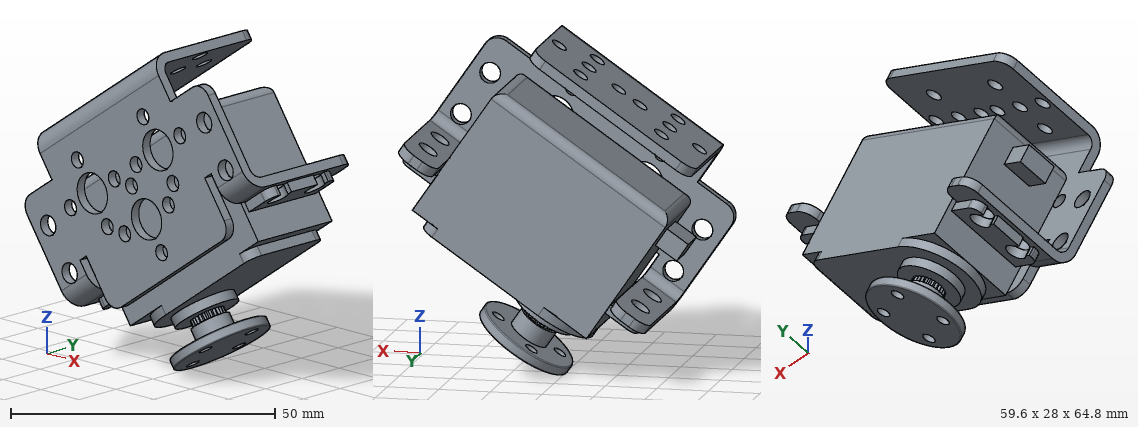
import cadquery as cq
import math


TILT = 34.53

SHEET = 2.0
BEND_INNER = 2.0
BEND_OUTER = BEND_INNER + SHEET
FLANGE_REACH = 28.0
CORNER = 3.0
CLEARANCE = 1.0
BRACKET_WIDTH = 58.0
TOP_WIDTH = 38.0
SLOT_WIDTH = 2.0
SHOULDER_Z = -9.5
SLOT_TOP_Z = -25.5
MOUNT_Z = -32.5
TONGUE_Z = -37.5
LOWER_FLANGE = (BRACKET_WIDTH - TOP_WIDTH) / 2 - SLOT_WIDTH
LOWER_FLANGE_X = (BRACKET_WIDTH - LOWER_FLANGE) / 2

SCREW_HOLE = 3.1
MOUNT_HOLE = 4.0
HORN_HOLE = 8.0
RING_RADIUS = 7.0
UPPER_GROUP_X = 10.5
UPPER_GROUP_Z = -16.0
LOWER_GROUP_Z = -26.0
PLATE_GROUPS = [(-UPPER_GROUP_X, UPPER_GROUP_Z), (UPPER_GROUP_X, UPPER_GROUP_Z), (0, LOWER_GROUP_Z)]
FLANGE_GROUP_X = 9.5
MOUNT_PITCH = 10.0
PLATE_MOUNT_TOP_Z = -16.5

SERVO_Y = 14.5
BODY_WIDTH = 41.0
BODY_DEPTH = 20.0
BODY_Y = (SERVO_Y - BODY_DEPTH / 2, SERVO_Y + BODY_DEPTH / 2)
BODY_TOP_Z = -11.5
BODY_BOTTOM_Z = -40.5
BODY_EDGE = 2.0
EAR_SPAN = 55.2
EAR_DEPTH = 18.0
EAR_THICKNESS = 2.0
EAR_CORNER = 2.0
EAR_HOLE = 4.2
EAR_MOUTH = 2.9
CABLE_WIDTH = 7.0
CABLE_HEIGHT = 4.0
CABLE_LENGTH = 5.0
CABLE_TOP_Z = -15.5

OUTPUT_X = (BODY_DEPTH - BODY_WIDTH) / 2
CAP_HEIGHT = 2.0
CAP_END_X = 17.1
CAP_CORNER = 2.6
BOSS_DIAMETER = 13.2
BOSS_HEIGHT = 2.0
SPLINE_TEETH = 25
SPLINE_DIAMETER = 7.0
SPLINE_ROOT = 6.3
SPLINE_GAP = 1.5
HUB_DIAMETER = 8.0
HUB_HEIGHT = 3.6
DISC_DIAMETER = 20.0
DISC_THICKNESS = 2.0
DISC_EDGE = 0.2
DISC_HOLE = 2.6
DISC_HOLE_ANGLE = 20.0

CAP_Z = BODY_BOTTOM_Z - CAP_HEIGHT
BOSS_Z = CAP_Z - BOSS_HEIGHT
HUB_TOP_Z = BOSS_Z - SPLINE_GAP
DISC_TOP_Z = HUB_TOP_Z - HUB_HEIGHT


def block(x, y, z):
    """Box spanning the given (low, high) pairs."""
    size = [high - low for low, high in (x, y, z)]
    return cq.Workplane("XY").box(*size, centered=False).translate((x[0], y[0], z[0]))


def upright_cylinder(x, y, diameter, bottom, top):
    plane = cq.Workplane("XY").workplane(offset=bottom)
    return plane.center(x, y).circle(diameter / 2).extrude(top - bottom)


def ring(x, y, first_angle=0):
    """Four points around a centre at the ring radius."""
    angles = [math.radians(first_angle + 90 * i) for i in range(4)]
    return [(x + RING_RADIUS * math.cos(a), y + RING_RADIUS * math.sin(a)) for a in angles]


def folded_strip(width, x, low, high, bend_at_top):
    """L-section strip: a length of plate bent into a flange at one end."""
    outer = block((x - width / 2, x + width / 2), (0, FLANGE_REACH), (low, high))
    if bend_at_top:
        inner_z = (low - CLEARANCE, high - SHEET)
    else:
        inner_z = (low + SHEET, high + CLEARANCE)
    inner = block((x - width, x + width), (SHEET, FLANGE_REACH + CLEARANCE), inner_z)
    bend_side = ">Z" if bend_at_top else "<Z"
    outer = outer.edges("<Y and " + bend_side).fillet(BEND_OUTER)
    inner = inner.edges("<Y and " + bend_side).fillet(BEND_INNER)
    return outer.edges("|Z and >Y").fillet(CORNER).cut(inner)


def plate_hole(points, diameter):
    plane = cq.Workplane("XZ").pushPoints(points)
    return plane.circle(diameter / 2).extrude(-SHEET)


def flange_hole(points, diameter, top):
    plane = cq.Workplane("XY").workplane(offset=top).pushPoints(points)
    return plane.circle(diameter / 2).extrude(-SHEET)


def make_bracket():
    half = TOP_WIDTH / 2
    wide = BRACKET_WIDTH / 2

    shoulders = block((-wide, wide), (0, SHEET), (SLOT_TOP_Z, SHOULDER_Z))
    shoulders = shoulders.edges("|Y and >Z").fillet(CORNER)
    tongue = block((-half, half), (0, SHEET), (TONGUE_Z, SLOT_TOP_Z))
    tongue = tongue.edges("|Y and <Z").fillet(CORNER)
    bracket = shoulders.union(tongue)
    bracket = bracket.union(folded_strip(TOP_WIDTH, 0, SLOT_TOP_Z, 0, True))
    for x in (-LOWER_FLANGE_X, LOWER_FLANGE_X):
        bracket = bracket.union(folded_strip(LOWER_FLANGE, x, MOUNT_Z, SLOT_TOP_Z, False))

    for x, z in PLATE_GROUPS:
        bracket = bracket.cut(plate_hole([(x, z)], HORN_HOLE))
        bracket = bracket.cut(plate_hole(ring(x, z), SCREW_HOLE))
    for x in (-FLANGE_GROUP_X, FLANGE_GROUP_X):
        points = [(x, SERVO_Y)] + ring(x, SERVO_Y)
        bracket = bracket.cut(flange_hole(points, SCREW_HOLE, 0))
    for x in (-LOWER_FLANGE_X, LOWER_FLANGE_X):
        plate_points = [(x, PLATE_MOUNT_TOP_Z), (x, PLATE_MOUNT_TOP_Z - MOUNT_PITCH)]
        bracket = bracket.cut(plate_hole(plate_points, MOUNT_HOLE))
        flange_points = [(x, SERVO_Y + side * MOUNT_PITCH / 2) for side in (-1, 1)]
        bracket = bracket.cut(flange_hole(flange_points, MOUNT_HOLE, MOUNT_Z + SHEET))
    return bracket


def make_ears():
    """Flat strip under the lower flanges with a screw hole and a narrower open mouth per screw."""
    plane = cq.Workplane("XY").workplane(offset=MOUNT_Z - EAR_THICKNESS).center(0, SERVO_Y)
    ears = plane.rect(EAR_SPAN, EAR_DEPTH).extrude(EAR_THICKNESS)
    ears = ears.edges("|Z").fillet(EAR_CORNER)
    mouth_length = LOWER_FLANGE
    for x in (-LOWER_FLANGE_X, LOWER_FLANGE_X):
        for y in (-MOUNT_PITCH / 2, MOUNT_PITCH / 2):
            hole = plane.center(x, y).circle(EAR_HOLE / 2).extrude(EAR_THICKNESS)
            mouth_x = x + math.copysign(mouth_length / 2, x)
            mouth = plane.center(mouth_x, y).rect(mouth_length, EAR_MOUTH).extrude(EAR_THICKNESS)
            ears = ears.cut(hole).cut(mouth)
    return ears


def make_body():
    half = BODY_WIDTH / 2
    body = block((-half, half), BODY_Y, (BODY_BOTTOM_Z, BODY_TOP_Z))
    body = body.faces(">Z").edges().fillet(BODY_EDGE)
    cable = block(
        (-half - CABLE_LENGTH, -half),
        (SERVO_Y - CABLE_WIDTH / 2, SERVO_Y + CABLE_WIDTH / 2),
        (CABLE_TOP_Z - CABLE_HEIGHT, CABLE_TOP_Z),
    )
    return body.union(cable).union(make_ears())


def make_gear_cap():
    """Raised pad under the body, round at the output end, with the output boss."""
    cap = block((OUTPUT_X, CAP_END_X), BODY_Y, (CAP_Z, BODY_BOTTOM_Z))
    cap = cap.edges("|Z and >X").fillet(CAP_CORNER)
    cap = cap.union(upright_cylinder(OUTPUT_X, SERVO_Y, BODY_DEPTH, CAP_Z, BODY_BOTTOM_Z))
    return cap.union(upright_cylinder(OUTPUT_X, SERVO_Y, BOSS_DIAMETER, BOSS_Z, CAP_Z))


def make_spline():
    points = []
    for i in range(2 * SPLINE_TEETH):
        radius = (SPLINE_DIAMETER if i % 2 == 0 else SPLINE_ROOT) / 2
        angle = math.pi * i / SPLINE_TEETH
        points.append((radius * math.cos(angle), radius * math.sin(angle)))
    plane = cq.Workplane("XY").workplane(offset=HUB_TOP_Z).center(OUTPUT_X, SERVO_Y)
    return plane.polyline(points).close().extrude(SPLINE_GAP)


def make_horn():
    disc_bottom = DISC_TOP_Z - DISC_THICKNESS
    disc = upright_cylinder(OUTPUT_X, SERVO_Y, DISC_DIAMETER, disc_bottom, DISC_TOP_Z)
    disc = disc.edges().fillet(DISC_EDGE)
    holes = (
        cq.Workplane("XY")
        .workplane(offset=disc_bottom)
        .pushPoints(ring(OUTPUT_X, SERVO_Y, DISC_HOLE_ANGLE))
        .circle(DISC_HOLE / 2)
        .extrude(DISC_THICKNESS)
    )
    hub = upright_cylinder(OUTPUT_X, SERVO_Y, HUB_DIAMETER, DISC_TOP_Z, HUB_TOP_Z)
    return disc.cut(holes).union(hub)


servo = make_body().union(make_gear_cap()).union(make_spline()).union(make_horn())
result = make_bracket().union(servo).rotate((0, 0, 0), (0, 1, 0), -TILT)